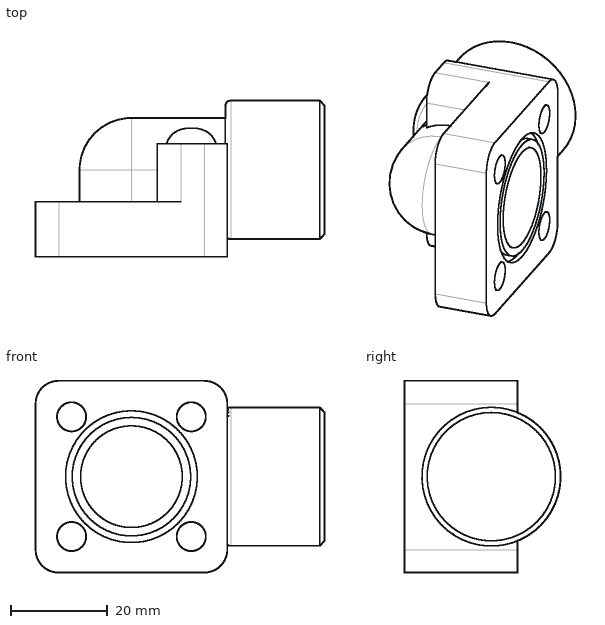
import cadquery as cq

total_length = 59.9
flange_side = 39.8
flange_thickness = 11.45
corner_radius = 4.8

wall_thickness = 14.5
wall_height = 23.5

inlet_x = flange_side / 2
outlet_y = 18.0
elbow_radius = 10.8

collar_radius = 14.4
collar_start_x = 39.35
collar_round = 1.1
collar_chamfer_length = 1.1
collar_chamfer_depth = 0.95

port_radius = 10.55
port_depth = 10.1
groove_outer_radius = 13.65
groove_inner_radius = 12.3
groove_depth = 1.2

bolt_hole_radius = 3.0
bolt_offset = 12.4
bolt_head_radius = 6.0


def cylinder_y(radius, start_y, end_y, x=inlet_x, z=0):
    """Cylinder along +Y between two Y positions."""
    return cq.Workplane(
        cq.Solid.makeCylinder(radius, end_y - start_y, cq.Vector(x, start_y, z), cq.Vector(0, 1, 0))
    )


def cylinder_x(radius, start_x, end_x):
    """Cylinder on the outlet axis between two X positions."""
    return cq.Workplane(
        cq.Solid.makeCylinder(radius, end_x - start_x, cq.Vector(start_x, outlet_y, 0), cq.Vector(1, 0, 0))
    )


def rounded_block(start_x, length, height):
    """Block standing on the Y = 0 face, with rounded corners along Y."""
    return (
        cq.Workplane("XY")
        .box(length, height, flange_side, centered=(False, False, True))
        .edges("|Y")
        .fillet(corner_radius)
        .translate((start_x, 0, 0))
    )


def make_flange():
    plate = rounded_block(0, flange_side, flange_thickness)
    wall = rounded_block(flange_side - wall_thickness, wall_thickness, wall_height)
    return plate.union(wall)


def outlet_half_disc():
    """Half disc above the outlet axis, in the plane X = inlet_x."""
    return (
        cq.Workplane("YZ", origin=(inlet_x, outlet_y, 0))
        .moveTo(0, -elbow_radius)
        .threePointArc((elbow_radius, 0), (0, elbow_radius))
        .close()
    )


def make_elbow():
    lower_body = (
        cq.Workplane("XZ")
        .moveTo(flange_side, -elbow_radius)
        .lineTo(inlet_x, -elbow_radius)
        .threePointArc((inlet_x - elbow_radius, 0), (inlet_x, elbow_radius))
        .lineTo(flange_side, elbow_radius)
        .close()
        .extrude(-outlet_y)
    )
    outlet_leg = outlet_half_disc().extrude(flange_side - inlet_x)
    bend = outlet_half_disc().revolve(90, (0, -0.6, 0), (0, 0.6, 0))
    return lower_body.union(outlet_leg).union(bend)


def make_collar():
    return (
        cylinder_x(collar_radius, collar_start_x, total_length)
        .faces("<X")
        .edges()
        .fillet(collar_round)
        .faces(">X")
        .edges()
        .chamfer(collar_chamfer_depth, collar_chamfer_length)
    )


bolt_seats = (
    (inlet_x - bolt_offset, flange_thickness),
    (inlet_x + bolt_offset, wall_height),
)

elbow = make_elbow()
for bolt_z in (-bolt_offset, bolt_offset):
    elbow = elbow.cut(
        cylinder_y(bolt_head_radius, wall_height, outlet_y + elbow_radius, inlet_x + bolt_offset, bolt_z)
    )

result = make_flange().union(elbow).union(make_collar())

for bolt_x, seat_y in bolt_seats:
    for bolt_z in (-bolt_offset, bolt_offset):
        result = result.cut(cylinder_y(bolt_hole_radius, 0, seat_y, bolt_x, bolt_z))

seal_groove = cylinder_y(groove_outer_radius, 0, groove_depth).cut(
    cylinder_y(groove_inner_radius, 0, groove_depth)
)
result = result.cut(seal_groove).cut(cylinder_y(port_radius, 0, port_depth))